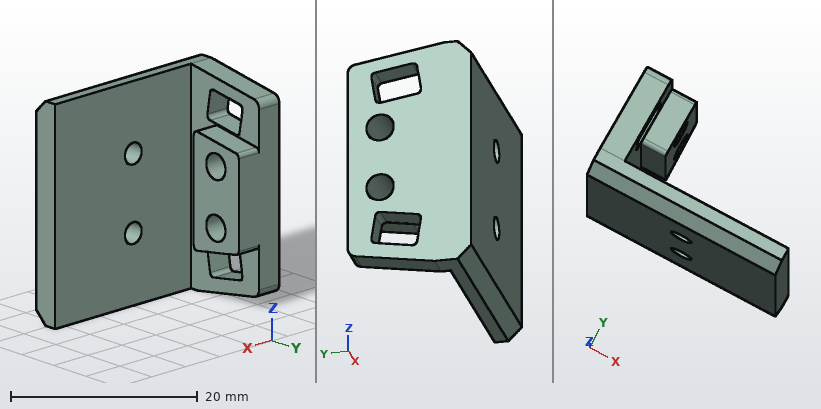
import cadquery as cq
import math

width = 23.0
height = 25.42
thickness = 3.0
chamfer = 1.5
screw_diameter = 2.47
screw_spacing = 9.0

depth = 13.65
taper_angle = 9.3
top_taper_start = 3.0
bottom_taper_start = 4.05
flange_corner_radius = 1.0

window_length = 5.1
window_height = 3.6
window_radius = 0.5
window_y = 8.29
window_z = 8.5

boss_start = 6.6
boss_height = 3.0
boss_window_gap = 0.1
boss_radius = 0.5
pin_diameter = 3.0
pin_spacing = 6.97
pin_y = 10.07

taper = math.tan(math.radians(taper_angle))
half_height = height / 2


def make_front_plate():
    plate = cq.Workplane("XY").box(width, thickness, height, centered=(False, False, True))
    plate = plate.faces("<Y").edges("|X").chamfer(chamfer)
    screws = (
        cq.Workplane("XZ")
        .pushPoints([(width / 2, screw_spacing / 2), (width / 2, -screw_spacing / 2)])
        .circle(screw_diameter / 2)
        .extrude(-thickness)
    )
    return plate.cut(screws)


def make_flange():
    top_back = half_height - (depth - top_taper_start) * taper
    bottom_back = -half_height + (depth - bottom_taper_start) * taper
    outline = [
        (chamfer, -half_height),
        (bottom_taper_start, -half_height),
        (depth, bottom_back),
        (depth, top_back),
        (top_taper_start, half_height),
        (chamfer, half_height),
        (0, half_height - chamfer),
        (0, -half_height + chamfer),
    ]
    flange = cq.Workplane("YZ").polyline(outline).close().extrude(thickness)
    return flange.faces(">Y").edges("|X").fillet(flange_corner_radius)


def make_boss():
    end_offset = (window_height / 2 + boss_window_gap) / math.cos(math.radians(taper_angle))
    start_z = window_z - end_offset - (boss_start - window_y) * taper
    back_z = window_z - end_offset - (depth - window_y) * taper
    outline = [
        (boss_start, -start_z),
        (depth, -back_z),
        (depth, back_z),
        (boss_start, start_z),
    ]
    boss = cq.Workplane("YZ", origin=(thickness, 0, 0)).polyline(outline).close().extrude(boss_height)
    return boss.edges("|X").fillet(boss_radius)


def make_window(side):
    """Window cutter above (side = 1) or below (side = -1) the middle of the flange."""
    return (
        cq.Workplane("YZ")
        .rect(window_length, window_height)
        .extrude(thickness)
        .edges("|X")
        .fillet(window_radius)
        .rotate((0, 0, 0), (1, 0, 0), -side * taper_angle)
        .translate((0, window_y, side * window_z))
    )


def make_pin_holes():
    return (
        cq.Workplane("YZ")
        .pushPoints([(pin_y, pin_spacing / 2), (pin_y, -pin_spacing / 2)])
        .circle(pin_diameter / 2)
        .extrude(thickness + boss_height)
    )


result = make_front_plate().union(make_flange()).union(make_boss()).cut(make_pin_holes())
for window_side in (1, -1):
    result = result.cut(make_window(window_side))